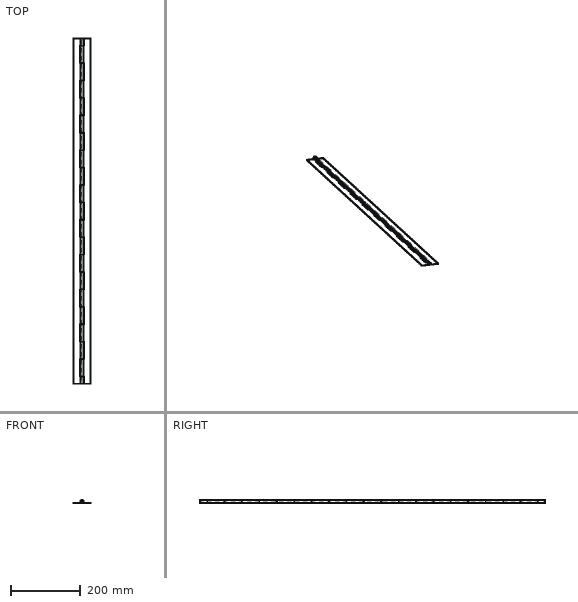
import cadquery as cq

length = 1000.0
width = 50.0
height = 9.5

sheet = 2.0
knuckle_radius = height / 2
bore_radius = knuckle_radius - sheet
pin_radius = 2.5
leaf_clearance = 0.5
leaf_inner_edge = knuckle_radius + leaf_clearance
leaf_outer_edge = width / 2

full_knuckle_count = 19
full_knuckle_length = 50.0
knuckle_gap = 0.4
knuckle_pitch = full_knuckle_length + knuckle_gap
knuckle_count = full_knuckle_count + 2
end_knuckle_length = (length - full_knuckle_count * knuckle_pitch - knuckle_gap) / 2

hinge_start = -length / 2
first_full_start = hinge_start + end_knuckle_length + knuckle_gap
last_end_start = length / 2 - end_knuckle_length


def axial_rod(radius, start, rod_length):
    """Round rod on the hinge axis, running along +Y from start."""
    rod = cq.Workplane("XZ", origin=(0, start, knuckle_radius)).circle(radius)
    return rod.extrude(-rod_length)


def flat_strip(side, inner, outer, start, strip_length):
    """Piece of flat sheet between two distances from the axis, on the side -1 or +1."""
    strip = cq.Workplane("XY").box(outer - inner, strip_length, sheet, centered=(True, False, False))
    return strip.translate((side * (inner + outer) / 2, start, 0))


def knuckle_start_and_length(index):
    """Place and length along Y of one knuckle, counted from the -Y end."""
    if index == 0:
        return hinge_start, end_knuckle_length
    if index == knuckle_count - 1:
        return last_end_start, end_knuckle_length
    return first_full_start + (index - 1) * knuckle_pitch, full_knuckle_length


def make_leaf(side, first_knuckle):
    """Leaf on the side -1 or +1, carrying every second knuckle from first_knuckle on."""
    leaf = flat_strip(side, leaf_inner_edge, leaf_outer_edge, hinge_start, length)
    for index in range(first_knuckle, knuckle_count, 2):
        start, knuckle_length = knuckle_start_and_length(index)
        strap = flat_strip(side, 0, leaf_inner_edge, start, knuckle_length)
        leaf = leaf.union(strap).union(axial_rod(knuckle_radius, start, knuckle_length))
    return leaf.cut(axial_rod(bore_radius, hinge_start, length))


left_leaf = make_leaf(-1, 0)
right_leaf = make_leaf(1, 1)
pin = axial_rod(pin_radius, hinge_start, length)

result = cq.Compound.makeCompound([left_leaf.solids().val(), right_leaf.solids().val(), pin.val()])